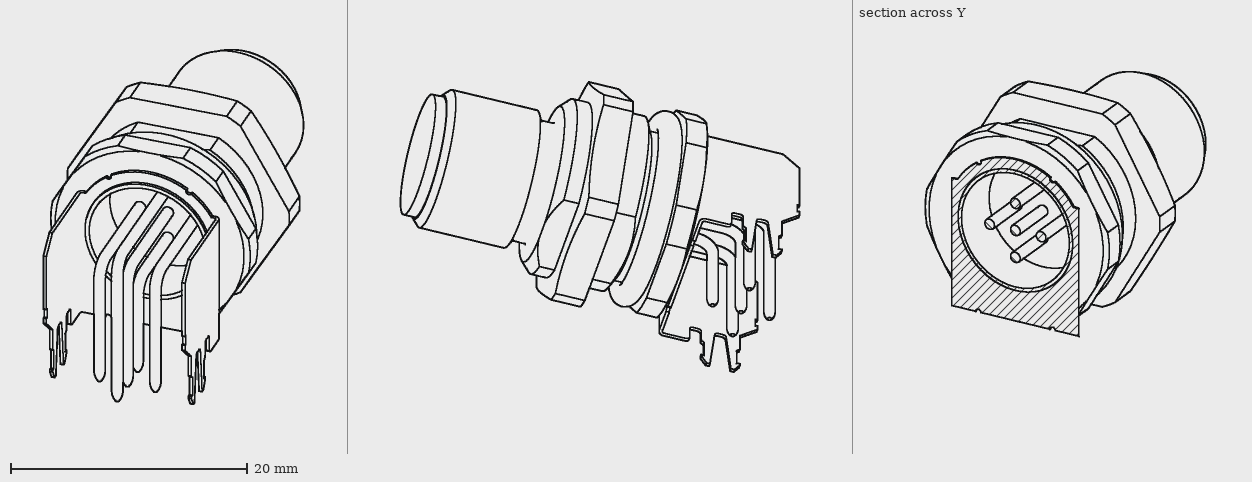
import cadquery as cq
import math


RIM_LENGTH = 0.57
FLANGE_THICKNESS = 2.0
BODY_REAR = 4.32
NUT_REAR = 7.03
NUT_FRONT = 9.92
BODY_FRONT = 12.1
THREAD_REAR = 14.02
TIP_START = 22.1
TIP_END = 23.05

RIM_RADIUS = 5.63
BODY_RADIUS = 7.63
BODY_FLATS = 13.42
BODY_FRONT_CHAMFER = 0.85
BODY_REAR_CHAMFER_LENGTH = 0.6
NECK_RADIUS = 5.25
THREAD_RADIUS = 6.0
THREAD_CHAMFER = 0.6
TIP_RADIUS = 5.25
RUNOUT_ANGLE = 60
RUNOUT_FILLET = 0.22
NECK_FILLET = 0.3
EDGE_MARGIN = 0.03
NUT_FLATS = 18.0
NUT_CORNERS = 20.0
NUT_CHAMFER = 0.3
FLANGE_FLATS = 17.0
FLANGE_CORNERS = 18.0
FLANGE_CHAMFER = 0.2
BORE_RADIUS = 5.25
BORE_BOTTOM = 4.5

RING_OUTER_DIAMETER = 17.0
RING_SECTION_RADIUS = FLANGE_THICKNESS / 2
RING_RADIUS = RING_OUTER_DIAMETER / 2 - RING_SECTION_RADIUS
GROOVE_RADIUS = RING_RADIUS - RING_SECTION_RADIUS
RING_Y = FLANGE_THICKNESS + RING_SECTION_RADIUS

SHEET = 0.3
SHIELD_WIDTH = 12.78
BEND_INNER_RADIUS = 0.2
SHIELD_ARC_RADIUS = 6.65
SIDE_TOP = 3.47
SIDE_BOTTOM = -8.45
SIDE_REAR = -8.75
SIDE_TOP_CHAMFER = 1.45
SIDE_REAR_CORNER_Z = -4.7
REAR_NOTCH_TOP = -3.3
REAR_NOTCH_BOTTOM = -4.2
REAR_NOTCH_DEPTH = 0.2
RELIEF_RADIUS = 0.25
RELIEF_X = 3.63

SLOT_TOP = -6.65
SLOT_HALF_WIDTH = 0.48
SLOT_FILLET = 0.32
TINE_OUTER = 1.72
REAR_TINE_TOP = -6.2
SIDE_SLOT_WIDTH = 1.0
SIDE_SLOT_FILLET = 0.25
SIDE_CORNER_FILLET = 0.38
TINE_WAIST = 1.43
TINE_SHOULDER_Z = -8.17
TINE_WAIST_Z = -8.45
BARB_TOP = -10.25
BARB_BOTTOM = -10.43
TINE_END = -11.25
TINE_END_OUTER = 1.25
TINE_END_INNER = 0.92

PIN_DIAMETER = 1.0
PIN_RADIUS = PIN_DIAMETER / 2
PIN_PITCH = 2.5
PIN_BEND_RADIUS = 1.53
PIN_CENTRE_Y = -5.47
PIN_BOTTOM = -11.5
PIN_TIP_LENGTH = 1.0
PIN_TIP_SHOULDER_RADIUS = 0.4
PIN_TIP_RADIUS = 0.15


def cylinder(radius, y_start, y_end):
    """Solid cylinder on the Y axis."""
    return cq.Workplane("XZ", origin=(0, y_start, 0)).circle(radius).extrude(y_start - y_end)


def revolve_about_axis(points):
    """Revolve an outline of (radius, y) points about the Y axis."""
    return cq.Workplane("XY").polyline(points).close().revolve(360, (0, 0), (0, 1))


def hexagon(flats, corners, y_start, y_face, chamfer):
    """Hexagon turned to a corner diameter and chamfered at its outer face y_face."""
    toward_start = math.copysign(1, y_start - y_face)
    across_points = flats / math.cos(math.radians(30))
    prism = cq.Workplane("XZ", origin=(0, y_start, 0)).polygon(6, across_points).extrude(y_start - y_face)
    turned = revolve_about_axis([
        (0, y_start),
        (corners / 2, y_start),
        (corners / 2, y_face + toward_start * chamfer),
        (flats / 2, y_face),
        (0, y_face),
    ])
    return prism.intersect(turned)


def neck_circle(y):
    """Selector for the circular edge of the neck at station y."""
    reach = NECK_RADIUS + EDGE_MARGIN
    low = (-reach, y - EDGE_MARGIN, -reach)
    high = (reach, y + EDGE_MARGIN, reach)
    return cq.selectors.BoxSelector(low, high, boundingbox=True)


def make_turned_core():
    """Everything turned on the axis in one piece, with the filleted roots of the neck."""
    runout_length = (THREAD_RADIUS - NECK_RADIUS) / math.tan(math.radians(RUNOUT_ANGLE))
    neck_front = THREAD_REAR - runout_length
    core = revolve_about_axis([
        (0, 0),
        (GROOVE_RADIUS, 0),
        (GROOVE_RADIUS, BODY_REAR),
        (BODY_RADIUS, BODY_REAR + BODY_REAR_CHAMFER_LENGTH),
        (BODY_RADIUS, BODY_FRONT - BODY_FRONT_CHAMFER),
        (BODY_RADIUS - BODY_FRONT_CHAMFER, BODY_FRONT),
        (NECK_RADIUS, BODY_FRONT),
        (NECK_RADIUS, neck_front),
        (THREAD_RADIUS, THREAD_REAR),
        (THREAD_RADIUS, TIP_START - THREAD_CHAMFER),
        (THREAD_RADIUS - THREAD_CHAMFER, TIP_START),
        (TIP_RADIUS, TIP_START),
        (TIP_RADIUS, TIP_END),
        (0, TIP_END),
    ])
    core = core.edges(neck_circle(neck_front)).fillet(RUNOUT_FILLET)
    return core.edges(neck_circle(BODY_FRONT)).fillet(NECK_FILLET)


def make_housing():
    between_flats = cq.Workplane("XY").box(2 * BODY_RADIUS, 2 * TIP_END, BODY_FLATS)
    housing = make_turned_core().intersect(between_flats)
    housing = housing.union(hexagon(NUT_FLATS, NUT_CORNERS, NUT_REAR, NUT_FRONT, NUT_CHAMFER))
    housing = housing.union(hexagon(FLANGE_FLATS, FLANGE_CORNERS, FLANGE_THICKNESS, 0, FLANGE_CHAMFER))
    housing = housing.union(cylinder(RIM_RADIUS, -RIM_LENGTH, FLANGE_THICKNESS))
    return housing.cut(cylinder(BORE_RADIUS, -RIM_LENGTH, BORE_BOTTOM))


def make_o_ring():
    section = cq.Workplane("XY").center(RING_RADIUS, RING_Y).circle(RING_SECTION_RADIUS)
    return section.revolve(360, (-RING_RADIUS, 0), (-RING_RADIUS, 1))


def make_side_profile():
    """Outline of a side plate with its tines, as a block wider than the shield."""
    tine = [
        (TINE_OUTER, TINE_SHOULDER_Z),
        (TINE_WAIST, TINE_WAIST_Z),
        (TINE_WAIST, BARB_TOP),
        (TINE_OUTER, BARB_TOP),
        (TINE_OUTER, BARB_BOTTOM),
        (TINE_END_OUTER, TINE_END),
        (TINE_END_INNER, TINE_END),
        (SLOT_HALF_WIDTH, SLOT_TOP),
    ]
    rear_tine = [(PIN_CENTRE_Y - offset, z) for offset, z in tine]
    front_tine = [(PIN_CENTRE_Y + offset, z) for offset, z in reversed(tine)]
    side_slot_rear = PIN_CENTRE_Y + TINE_OUTER
    side_slot_front = side_slot_rear + SIDE_SLOT_WIDTH
    outline = [
        (0, SIDE_TOP),
        (SIDE_REAR + SIDE_TOP_CHAMFER, SIDE_TOP),
        (SIDE_REAR, SIDE_TOP - SIDE_TOP_CHAMFER),
        (SIDE_REAR, REAR_NOTCH_TOP),
        (SIDE_REAR + REAR_NOTCH_DEPTH, REAR_NOTCH_TOP),
        (SIDE_REAR + REAR_NOTCH_DEPTH, REAR_NOTCH_BOTTOM),
        (SIDE_REAR, REAR_NOTCH_BOTTOM),
        (SIDE_REAR, SIDE_REAR_CORNER_Z),
        (PIN_CENTRE_Y - TINE_OUTER, REAR_TINE_TOP),
        *rear_tine,
        *front_tine,
        (side_slot_rear, SLOT_TOP),
        (side_slot_front, SLOT_TOP),
        (side_slot_front, SIDE_BOTTOM),
        (0, SIDE_BOTTOM),
    ]
    profile = cq.Workplane("YZ").polyline(outline).close().extrude(SHIELD_WIDTH, both=True)
    rounded_corners = (
        (PIN_CENTRE_Y - SLOT_HALF_WIDTH, SLOT_TOP, SLOT_FILLET),
        (PIN_CENTRE_Y + SLOT_HALF_WIDTH, SLOT_TOP, SLOT_FILLET),
        (side_slot_rear, SLOT_TOP, SIDE_SLOT_FILLET),
        (side_slot_front, SLOT_TOP, SIDE_SLOT_FILLET),
        (side_slot_front, SIDE_BOTTOM, SIDE_CORNER_FILLET),
    )
    for y, z, radius in rounded_corners:
        profile = profile.edges(cq.selectors.NearestToPointSelector((0, y, z))).fillet(radius)
    return profile


def make_channel():
    """Sheet bent into a U around the Z direction, from tine ends to the top of the sides."""
    height = SIDE_TOP - TINE_END
    depth = -SIDE_REAR
    inner_width = SHIELD_WIDTH - 2 * SHEET
    base = cq.Workplane("XY", origin=(0, 0, TINE_END))
    outer = base.center(0, -depth / 2).rect(SHIELD_WIDTH, depth).extrude(height)
    outer = outer.edges("|Z and >Y").fillet(BEND_INNER_RADIUS + SHEET)
    inner = base.center(0, -SHEET - depth / 2).rect(inner_width, depth).extrude(height)
    inner = inner.edges("|Z and >Y").fillet(BEND_INNER_RADIUS)
    return outer.cut(inner)


def make_shield():
    shield = make_channel().intersect(make_side_profile())
    above_sides = cq.Workplane("XY", origin=(0, 0, SIDE_TOP)).box(
        SHIELD_WIDTH, SHIELD_WIDTH, SHIELD_ARC_RADIUS, centered=(True, True, False)
    )
    shield = shield.union(cylinder(SHIELD_ARC_RADIUS, -SHEET, 0).intersect(above_sides))
    shield = shield.cut(cylinder(RIM_RADIUS, -SHEET, 0))
    relief_top_z = math.sqrt(SHIELD_ARC_RADIUS**2 - RELIEF_X**2)
    reliefs = [(x, z) for x in (-RELIEF_X, RELIEF_X) for z in (relief_top_z, SIDE_BOTTOM)]
    return shield.cut(cq.Workplane("XZ").pushPoints(reliefs).circle(RELIEF_RADIUS).extrude(SHEET))


def make_pin(x, z):
    """Right-angle pin; the higher its row, the further back it turns down."""
    drop_y = PIN_CENTRE_Y - z
    path = (
        cq.Workplane("YZ", origin=(x, 0, 0))
        .moveTo(BORE_BOTTOM, z)
        .lineTo(drop_y + PIN_BEND_RADIUS, z)
        .radiusArc((drop_y, z - PIN_BEND_RADIUS), -PIN_BEND_RADIUS)
        .lineTo(drop_y, PIN_BOTTOM + PIN_TIP_LENGTH)
    )
    shank = cq.Workplane("XZ", origin=(x, BORE_BOTTOM, z)).circle(PIN_RADIUS).sweep(path)
    tip = (
        cq.Workplane("XZ", origin=(x, drop_y, PIN_BOTTOM))
        .lineTo(0, PIN_TIP_LENGTH)
        .lineTo(PIN_RADIUS, PIN_TIP_LENGTH)
        .threePointArc((PIN_TIP_SHOULDER_RADIUS, PIN_TIP_LENGTH / 2), (PIN_TIP_RADIUS, 0))
        .close()
        .revolve(360, (0, 0), (0, 1))
    )
    return shank.union(tip)


housing = make_housing()
o_ring = make_o_ring()
shield = make_shield()

pin_places = [(0, 0), (PIN_PITCH, 0), (-PIN_PITCH, 0), (0, PIN_PITCH), (0, -PIN_PITCH)]
pins = [make_pin(x, z) for x, z in pin_places]

result = cq.Compound.makeCompound([
    housing.val(),
    o_ring.val(),
    shield.val(),
    *[pin.val() for pin in pins],
])